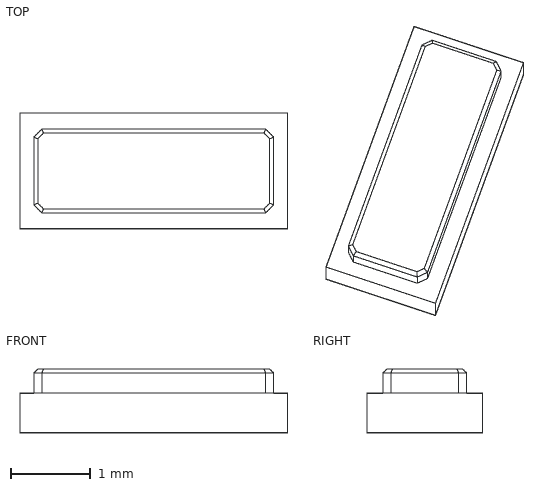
import cadquery as cq

base_length = 3.35
base_width = 1.45
base_height = 0.5

total_height = 0.8
lid_length = 3.0
lid_width = 1.05
lid_height = total_height - base_height
corner_chamfer = 0.1
top_chamfer = corner_chamfer / 2


def make_base():
    """Plain rectangular block standing on Z = 0."""
    return cq.Workplane("XY").box(base_length, base_width, base_height, centered=(True, True, False))


def make_lid():
    """Lid with cut vertical corners and a chamfered top rim."""
    return (
        cq.Workplane("XY")
        .workplane(offset=base_height)
        .rect(lid_length, lid_width)
        .extrude(lid_height)
        .edges("|Z")
        .chamfer(corner_chamfer)
        .faces(">Z")
        .chamfer(top_chamfer)
    )


result = make_base().union(make_lid())